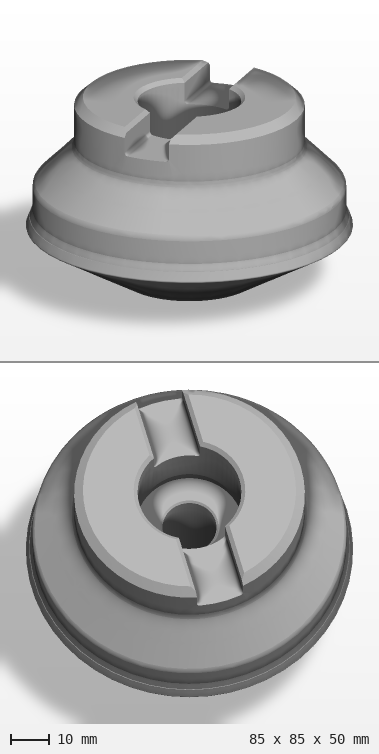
import cadquery as cq
import math

total_height = 50.0
rim_radius = 42.5
rim_height = 14.6
nose_radius = 0.4
underside_angle = 30.0

neck_radius = 60.0 / 2
drum_radius = 81.7 / 2
shoulder_height = 26.1
blend_radius = 2.0
top_chamfer = 2.3
top_chamfer_height = 2.0
flare_angle = 19.5

seam_height = 17.1
seam_bottom = 7.15
seam_ledge = 0.2

bore_diameter = 27.0
relief_diameter = 28.0
bolt_diameter = 14.0
relief_top = 31.9
bore_floor = 28.5
bore_chamfer = 1.0
bolt_chamfer = 0.5
slot_width = 12.4
slot_depth = 7.0
slot_chamfer = 1.0
slot_fillet = 0.85

nose_center = rim_radius - nose_radius
underside_slope = math.tan(math.radians(underside_angle))
flare_slope = math.tan(math.radians(flare_angle))
nose_bottom_radius = nose_center + nose_radius * math.sin(math.radians(underside_angle))
nose_bottom_height = rim_height - nose_radius * math.cos(math.radians(underside_angle))
nose_top_radius = nose_center + nose_radius * math.cos(math.radians(flare_angle))
nose_top_height = rim_height + nose_radius * math.sin(math.radians(flare_angle))
foot_radius = nose_bottom_radius - nose_bottom_height / underside_slope
seat_radius = foot_radius + seam_bottom / underside_slope
neck_base = shoulder_height + drum_radius - neck_radius
ring_top_radius = nose_top_radius - (seam_height - nose_top_height) * flare_slope
seam_radius = ring_top_radius - seam_ledge
flare_height = seam_height + (seam_radius - drum_radius) / flare_slope


def revolve(points):
    """Revolve a closed (radius, height) outline about the Z axis."""
    return cq.Workplane("XZ").polyline(points).close().revolve(360, (0, 0), (0, 1))


def circle_at(height, radius):
    """Select the circular edge with the given height and radius."""
    margin = 0.04
    reach = radius + margin
    return cq.selectors.BoxSelector(
        (-reach, -reach, height - margin), (reach, reach, height + margin), boundingbox=True
    )


def make_blank():
    """Turned holder with a rabbet left open for the cutting ring."""
    blank = revolve([
        (0, 0),
        (foot_radius, 0),
        (seat_radius, seam_bottom),
        (seat_radius, seam_height),
        (seam_radius, seam_height),
        (drum_radius, flare_height),
        (drum_radius, shoulder_height),
        (neck_radius, neck_base),
        (neck_radius, total_height - top_chamfer_height),
        (neck_radius - top_chamfer, total_height),
        (0, total_height),
    ])
    for height, radius in ((shoulder_height, drum_radius), (neck_base, neck_radius)):
        blank = blank.edges(circle_at(height, radius)).fillet(blend_radius)
    return blank


def make_bore():
    """Stepped arbor bore: chamfered mouth, relief at its floor and a bolt hole."""
    bore_radius = bore_diameter / 2
    relief_radius = relief_diameter / 2
    bolt_radius = bolt_diameter / 2
    return revolve([
        (0, 0),
        (bolt_radius, 0),
        (bolt_radius, bore_floor - bolt_chamfer),
        (bolt_radius + bolt_chamfer, bore_floor),
        (relief_radius, bore_floor),
        (relief_radius, relief_top),
        (bore_radius, relief_top),
        (bore_radius, total_height - bore_chamfer),
        (bore_radius + bore_chamfer, total_height),
        (0, total_height),
    ])


def make_slot():
    """Drive slot along Y with rounded floor corners and chamfered lips."""
    half_width = slot_width / 2
    floor = total_height - slot_depth
    lip = half_width + slot_chamfer
    return (
        cq.Workplane("XZ")
        .moveTo(-half_width + slot_fillet, floor)
        .lineTo(half_width - slot_fillet, floor)
        .radiusArc((half_width, floor + slot_fillet), -slot_fillet)
        .lineTo(half_width, total_height - slot_chamfer)
        .lineTo(lip, total_height)
        .lineTo(-lip, total_height)
        .lineTo(-half_width, total_height - slot_chamfer)
        .lineTo(-half_width, floor + slot_fillet)
        .radiusArc((-half_width + slot_fillet, floor), -slot_fillet)
        .close()
        .extrude(neck_radius, both=True)
    )


def make_cutting_ring():
    """Ring that fills the rabbet and carries the outer rim."""
    return (
        cq.Workplane("XZ")
        .moveTo(seat_radius, seam_bottom)
        .lineTo(nose_bottom_radius, nose_bottom_height)
        .threePointArc((rim_radius, rim_height), (nose_top_radius, nose_top_height))
        .lineTo(ring_top_radius, seam_height)
        .lineTo(seat_radius, seam_height)
        .close()
        .revolve(360, (0, 0), (0, 1))
    )


holder = make_blank().cut(make_bore()).cut(make_slot())
cutting_ring = make_cutting_ring()

result = cq.Compound.makeCompound([holder.val(), cutting_ring.val()])